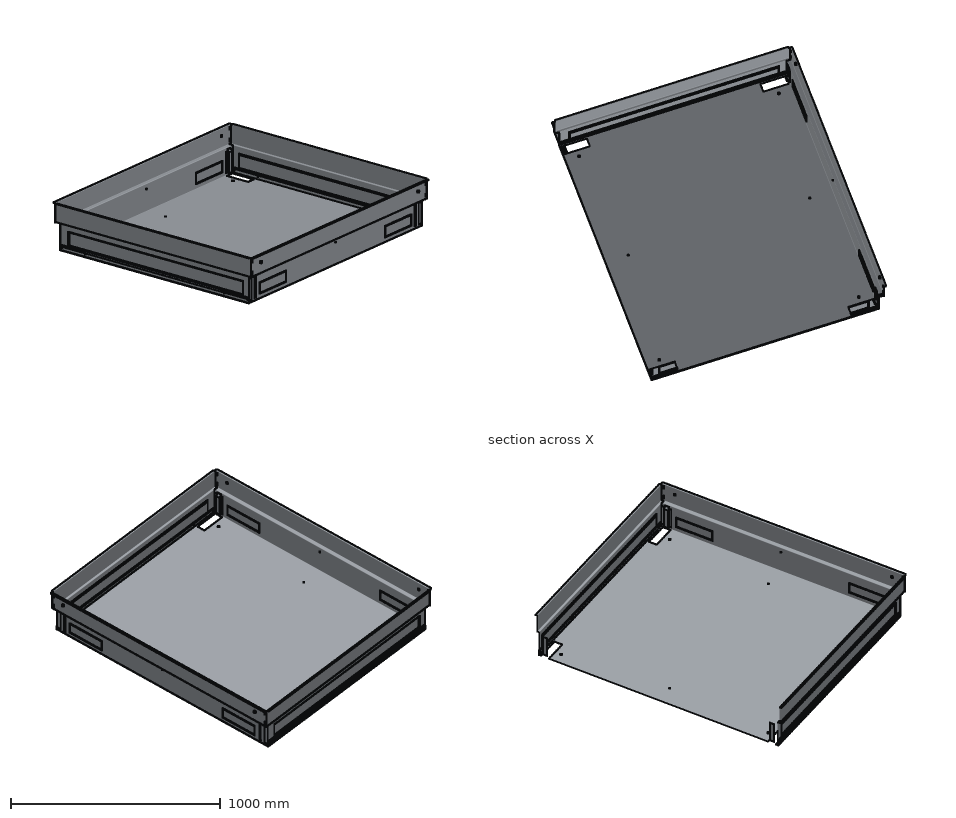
import cadquery as cq

HEIGHT = 240.0
RIM_X = 608.5
RIM_Y = 683.75
SHEET = 2.0
BEND_INNER = 1.0
BEND_OUTER = BEND_INNER + SHEET

SIDE_LOWER = 576.5
SIDE_UPPER = 598.0
END_LOWER = 664.5
END_UPPER = 675.5
SIDE_END = 677.5
LEDGE_Z = 140.0
LIP_HEIGHT = 20.0

SIDE_LOWER_IN = SIDE_LOWER - SHEET
SIDE_UPPER_IN = SIDE_UPPER - SHEET
END_LOWER_IN = END_LOWER - SHEET
END_UPPER_IN = END_UPPER - SHEET
LEDGE_TOP = LEDGE_Z + SHEET
RIM_BOTTOM = HEIGHT - SHEET

RIM_CORNER = 4.0
END_RIM_HALF = 590.0
END_CLEARANCE = 1.0
END_HALF = SIDE_UPPER_IN - END_CLEARANCE

SLOT_X = (439.0, 568.0)
SLOT_Y = (609.0, 652.0)
FLOOR_HOLE_DIA = 10.0
FLOOR_HOLE_AT = (505.0, 576.0)
SMALL_HOLE_DIA = 6.0
SMALL_HOLE_X = 459.0
SIDE_HOLE_Z = 114.5

KNOCKOUT_Y = (379.0, 583.5)
KNOCKOUT_Z = (25.0, 84.0)
KNOCKOUT_GAP = 4.0
BRIDGE_WIDTH = 4.0

SLIT_Y = (663.0, 666.0)
SLIT_HEIGHT = 16.0
SLIT_BOTTOMS = (153.0, 213.0)

PANEL_X = (-527.0, 538.0)
PANEL_Z = (30.0, 106.0)
PANEL_TAPER = 5.5
PANEL_DEPTH = 4.0

TAB_X = (421.5, 567.0)
TAB_Z = (13.0, 29.0)
TAB_GAP = 4.0

BRACKET_Z = (13.0, 123.0)
BRACKET_END = 609.0
HAT_Y = (619.0, 643.5)
HAT_X = 561.0
HAT_TOP = 134.0

STUD_Y = 604.0
STUD_Z = 199.0
STUD_HEAD_DIA = 13.0
STUD_HEAD = 5.0
STUD_SHANK_DIA = 9.0

SIGNS = (-1, 1)
CORNERS = [(sx, sy) for sx in SIGNS for sy in SIGNS]


def block(x, y, z):
    """Box between the two limits given for each axis, in any order."""
    (x0, x1), (y0, y1), (z0, z1) = sorted(x), sorted(y), sorted(z)
    return cq.Workplane("XY").box(x1 - x0, y1 - y0, z1 - z0, centered=False).translate((x0, y0, z0))


def signed(sign, limits):
    return tuple(sign * limit for limit in limits)


def round_bends(body, corners):
    """Round the edges nearest to the given points; each entry is (point, radius)."""
    for point, radius in corners:
        body = body.edges(cq.selectors.NearestToPointSelector(point)).fillet(radius)
    return body


def side_section():
    """Cross-section of the tray: floor, lower walls, ledges, upper walls and rims."""
    inner = [
        (SIDE_LOWER_IN, SHEET),
        (SIDE_LOWER_IN, LEDGE_TOP),
        (SIDE_UPPER_IN, LEDGE_TOP),
        (SIDE_UPPER_IN, HEIGHT),
        (RIM_X, HEIGHT),
    ]
    outer = [
        (RIM_X, RIM_BOTTOM),
        (SIDE_UPPER, RIM_BOTTOM),
        (SIDE_UPPER, LEDGE_Z),
        (SIDE_LOWER, LEDGE_Z),
        (SIDE_LOWER, 0),
    ]
    right = inner + outer
    left = [(-x, z) for x, z in reversed(right)]
    return right + left


def side_bends():
    bends = []
    for s in SIGNS:
        for x, z, radius in (
            (SIDE_LOWER_IN, SHEET, BEND_INNER),
            (SIDE_LOWER, 0, BEND_OUTER),
            (SIDE_LOWER_IN, LEDGE_TOP, BEND_OUTER),
            (SIDE_LOWER, LEDGE_Z, BEND_INNER),
            (SIDE_UPPER_IN, LEDGE_TOP, BEND_INNER),
            (SIDE_UPPER, LEDGE_Z, BEND_OUTER),
            (SIDE_UPPER_IN, HEIGHT, BEND_OUTER),
            (SIDE_UPPER, RIM_BOTTOM, BEND_INNER),
        ):
            bends.append(((s * x, 0, z), radius))
    return bends


def knockout_slot(sx, sy):
    """Slot around a knock-out plate, interrupted by a bridge above and below the plate."""
    wall_x = signed(sx, (SIDE_LOWER_IN - SHEET, SIDE_LOWER + SHEET))
    plate_y = (KNOCKOUT_Y[0] + KNOCKOUT_GAP, KNOCKOUT_Y[1] - KNOCKOUT_GAP)
    plate_z = (KNOCKOUT_Z[0] + KNOCKOUT_GAP, KNOCKOUT_Z[1] - KNOCKOUT_GAP)
    middle = sum(KNOCKOUT_Y) / 2
    bridge_y = (middle - BRIDGE_WIDTH / 2, middle + BRIDGE_WIDTH / 2)
    opening = block(wall_x, signed(sy, KNOCKOUT_Y), KNOCKOUT_Z)
    plate = block(wall_x, signed(sy, plate_y), plate_z)
    bridges = block(wall_x, signed(sy, bridge_y), KNOCKOUT_Z)
    return opening.cut(plate).cut(bridges)


def make_tray():
    tray = cq.Workplane("XZ").polyline(side_section()).close().extrude(SIDE_END, both=True)
    tray = round_bends(tray, side_bends())
    tray = tray.edges("|Z").edges(">X or <X").chamfer(RIM_CORNER)

    for s in SIGNS:
        beyond = 2 * RIM_Y
        tray = tray.cut(
            block((-SIDE_UPPER, SIDE_UPPER), (s * END_LOWER, s * beyond), (0, LEDGE_Z))
        )
        tray = tray.cut(
            block(
                (-SIDE_UPPER_IN, SIDE_UPPER_IN),
                (s * END_LOWER_IN, s * beyond),
                (LEDGE_Z - BEND_OUTER, LEDGE_TOP + BEND_OUTER),
            )
        )
        lip_y = (s * END_LOWER, s * (END_LOWER + SHEET))
        tray = tray.union(block((-SIDE_LOWER, SIDE_LOWER), lip_y, (0, LIP_HEIGHT)))

    for sx, sy in CORNERS:
        tray = tray.cut(block(signed(sx, SLOT_X), signed(sy, SLOT_Y), (-SHEET, 2 * SHEET)))
        tray = tray.cut(knockout_slot(sx, sy))
        for bottom in SLIT_BOTTOMS:
            upper_wall_x = signed(sx, (SIDE_UPPER_IN, SIDE_UPPER))
            tray = tray.cut(block(upper_wall_x, signed(sy, SLIT_Y), (bottom, bottom + SLIT_HEIGHT)))
    holes = [(sx * FLOOR_HOLE_AT[0], sy * FLOOR_HOLE_AT[1]) for sx, sy in CORNERS]
    tray = tray.cut(cq.Workplane("XY").pushPoints(holes).circle(FLOOR_HOLE_DIA / 2).extrude(SHEET))
    small = [(s * SMALL_HOLE_X, 0) for s in SIGNS]
    tray = tray.cut(cq.Workplane("XY").pushPoints(small).circle(SMALL_HOLE_DIA / 2).extrude(SHEET))

    tray = tray.cut(
        cq.Workplane("YZ").center(0, SIDE_HOLE_Z).circle(SMALL_HOLE_DIA / 2).extrude(RIM_X, both=True)
    )
    stud_holes = [(s * STUD_Y, STUD_Z) for s in SIGNS]
    return tray.cut(
        cq.Workplane("YZ").pushPoints(stud_holes).circle(STUD_SHANK_DIA / 2).extrude(RIM_X, both=True)
    )


def tapered_panel(y_open):
    """Frustum of the pressed panel, narrowing toward the inside of the tray."""
    width = PANEL_X[1] - PANEL_X[0]
    height = PANEL_Z[1] - PANEL_Z[0]
    centre_x = sum(PANEL_X) / 2
    centre_z = sum(PANEL_Z) / 2
    return (
        cq.Workplane("XZ", origin=(-centre_x, y_open, centre_z))
        .rect(width, height)
        .workplane(offset=PANEL_DEPTH)
        .rect(width - 2 * PANEL_TAPER, height - 2 * PANEL_TAPER)
        .loft()
    )


def hat(sx):
    """Raised part of a corner bracket: an upright face under a 45 degree roof."""
    def solid(inset, y_limits):
        wall = SIDE_LOWER_IN
        face = HAT_X + inset
        roof = HAT_TOP - inset * 2 ** 0.5
        outline = [
            (sx * wall, BRACKET_Z[0]),
            (sx * face, BRACKET_Z[0]),
            (sx * face, roof - (wall - face)),
            (sx * wall, roof),
        ]
        length = y_limits[1] - y_limits[0]
        return cq.Workplane("XZ", origin=(0, y_limits[1], 0)).polyline(outline).close().extrude(length)

    return solid(0, HAT_Y).cut(solid(SHEET, (HAT_Y[0] + SHEET, HAT_Y[1] - SHEET)))


def corner_bracket(sx):
    """Strips against the side wall joined by the raised hat."""
    strip_x = signed(sx, (SIDE_LOWER_IN - SHEET, SIDE_LOWER_IN))
    bracket = hat(sx)
    bracket = bracket.union(block(strip_x, (BRACKET_END, HAT_Y[0] + SHEET), BRACKET_Z))
    return bracket.union(block(strip_x, (HAT_Y[1] - SHEET, END_LOWER), BRACKET_Z))


def tab_slit(sx):
    """Slit over the top and down both sides of a tab; the tab stays joined at its foot."""
    wall_y = (END_LOWER_IN, END_LOWER)
    tab_x = (TAB_X[0] + TAB_GAP, TAB_X[1] - TAB_GAP)
    tab = block(signed(sx, tab_x), wall_y, (TAB_Z[0], TAB_Z[1] - TAB_GAP))
    return block(signed(sx, TAB_X), wall_y, TAB_Z).cut(tab)


def make_end_panel():
    """End panel on the +Y side: lower wall, ledge, upper wall and rim."""
    section = [
        (END_LOWER_IN, SHEET),
        (END_LOWER_IN, LEDGE_TOP),
        (END_UPPER_IN, LEDGE_TOP),
        (END_UPPER_IN, HEIGHT),
        (RIM_Y, HEIGHT),
        (RIM_Y, RIM_BOTTOM),
        (END_UPPER, RIM_BOTTOM),
        (END_UPPER, LEDGE_Z),
        (END_LOWER, LEDGE_Z),
        (END_LOWER, SHEET),
    ]
    panel = cq.Workplane("YZ").polyline(section).close().extrude(END_HALF, both=True)
    panel = round_bends(
        panel,
        [
            ((0, END_LOWER_IN, LEDGE_TOP), BEND_OUTER),
            ((0, END_LOWER, LEDGE_Z), BEND_INNER),
            ((0, END_UPPER_IN, LEDGE_TOP), BEND_INNER),
            ((0, END_UPPER, LEDGE_Z), BEND_OUTER),
            ((0, END_UPPER_IN, HEIGHT), BEND_OUTER),
            ((0, END_UPPER, RIM_BOTTOM), BEND_INNER),
        ],
    )
    for s in SIGNS:
        panel = panel.cut(
            block(
                (s * SIDE_LOWER_IN, s * SIDE_UPPER),
                (END_LOWER_IN, END_LOWER),
                (0, LEDGE_Z - BEND_OUTER),
            )
        )
        panel = panel.cut(
            block((s * END_RIM_HALF, s * SIDE_UPPER), (END_UPPER, RIM_Y), (RIM_BOTTOM - BEND_INNER, HEIGHT))
        )
        panel = round_bends(panel, [((s * SIDE_LOWER_IN, END_LOWER_IN + SHEET / 2, SHEET), BEND_INNER)])
        panel = panel.cut(tab_slit(s))
        panel = panel.union(corner_bracket(s))
    panel = panel.union(tapered_panel(END_LOWER_IN))
    return panel.cut(tapered_panel(END_LOWER))


def make_stud(sx, sy):
    """Headed stud whose shank fills its hole and ends flush with the inside of the wall."""
    stud = (
        cq.Workplane("YZ", origin=(SIDE_UPPER_IN, sy * STUD_Y, STUD_Z))
        .circle(STUD_SHANK_DIA / 2)
        .extrude(SHEET)
        .faces(">X")
        .workplane()
        .circle(STUD_HEAD_DIA / 2)
        .extrude(STUD_HEAD)
    )
    return stud if sx > 0 else stud.mirror("YZ")


tray = make_tray()
back_panel = make_end_panel()
front_panel = back_panel.rotate((0, 0, 0), (0, 0, 1), 180)
studs = [make_stud(sx, sy) for sx, sy in CORNERS]

result = cq.Compound.makeCompound(
    [tray.val(), front_panel.val(), back_panel.val(), *[stud.val() for stud in studs]]
)